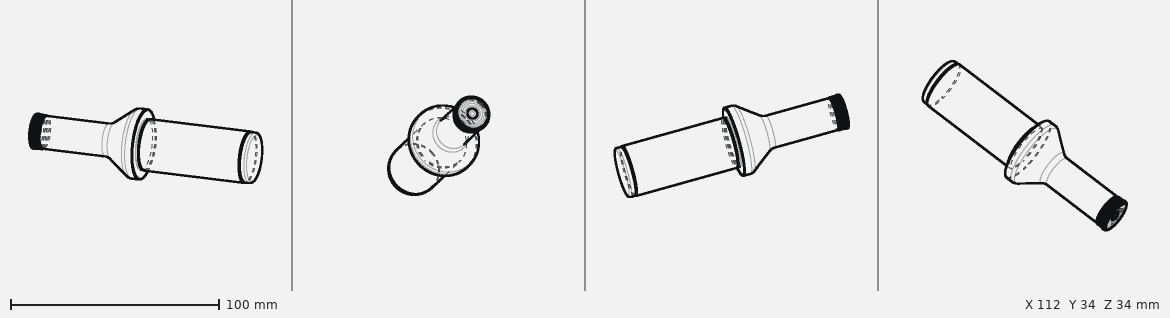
import cadquery as cq
import math

TOTAL_LENGTH = 112.0

TIP_LENGTH = 5.5
TIP_RIM_RADIUS = 8.5
TIP_FACE_RADIUS = 7.6
NOSE_LENGTH = 0.3
NOSE_RADIUS = 8.4
RIM_START = 0.7
RIM_END = 1.7
NECK_START = 2.0
NECK_RADIUS = 8.3
WAVE_PITCH = 0.7
WAVE_DEPTH = 0.1
TAPER_MIDDLE = 5.0
TAPER_MIDDLE_RADIUS = 8.2

DISH_RADIUS = 3.8
DISH_SHOULDER_RADIUS = 3.1
DISH_SHOULDER_DEPTH = 0.1
DISH_STEP_RADIUS = 2.5
DISH_STEP_DEPTH = 0.5
DISH_INNER_RADIUS = 1.8
DISH_INNER_DEPTH = 0.5
DISH_FLOOR_RADIUS = 1.0
DISH_DEPTH = 0.7
RING_INNER_RADIUS = 4.9
RING_BOTTOM_RADIUS = 5.8
RING_OUTER_RADIUS = 6.6
RING_DEPTH = 0.1

COLUMN_RADIUS = 16.0 / 2
CONE_ANGLE = math.radians(36.7)
CONE_FOOT_ROUND = 5.2
CONE_TOP_ROUND = 3.1
FLANGE_RADIUS = 34.0 / 2
FLANGE_START = 52.0
FLANGE_END = 55.8
FLANGE_CHAMFER = 0.3
SHANK_RADIUS = 25.0 / 2
RELIEF_RADIUS = 24.5 / 2
NECK_FILLET = 0.2
RELIEF_END = 57.0
SHANK_START = 57.7
SHANK_END = 108.3
TAIL_START = 109.0
TAIL_ROUND = 1.0


def revolve(profile):
    """Close a half-section on the X axis and revolve it into a solid."""
    return profile.close().revolve(360, (0, 0, 0), (1, 0, 0))


def point_on_circle(center, radius, angle):
    """Point on a circle, at an angle measured from the +X direction."""
    return center[0] + radius * math.cos(angle), center[1] + radius * math.sin(angle)


def make_tip():
    """Cap with a dished, grooved face, a chamfered rim and a waved neck."""
    profile = (
        cq.Workplane("XY")
        .moveTo(DISH_DEPTH, 0)
        .lineTo(DISH_DEPTH, DISH_FLOOR_RADIUS)
        .lineTo(DISH_INNER_DEPTH, DISH_INNER_RADIUS)
        .lineTo(DISH_STEP_DEPTH, DISH_STEP_RADIUS)
        .lineTo(DISH_SHOULDER_DEPTH, DISH_SHOULDER_RADIUS)
        .lineTo(0, DISH_RADIUS)
        .lineTo(0, RING_INNER_RADIUS)
        .lineTo(RING_DEPTH, RING_BOTTOM_RADIUS)
        .lineTo(0, RING_OUTER_RADIUS)
        .lineTo(0, TIP_FACE_RADIUS)
        .lineTo(NOSE_LENGTH, NOSE_RADIUS)
        .lineTo(RIM_START, TIP_RIM_RADIUS)
        .lineTo(RIM_END, TIP_RIM_RADIUS)
        .lineTo(NECK_START, NECK_RADIUS)
    )
    for step in range(1, 5):
        dip = WAVE_DEPTH if step % 2 else 0
        profile = profile.lineTo(NECK_START + step * WAVE_PITCH, NECK_RADIUS - dip)
    profile = (
        profile.lineTo(TAPER_MIDDLE, TAPER_MIDDLE_RADIUS)
        .lineTo(TIP_LENGTH, COLUMN_RADIUS)
        .lineTo(TIP_LENGTH, 0)
    )
    return revolve(profile)


def make_holder():
    """Column that flares through a cone to a flange, with a long shank behind it."""
    rounds = CONE_FOOT_ROUND + CONE_TOP_ROUND
    cone_rise = FLANGE_RADIUS - COLUMN_RADIUS - rounds * (1 - math.cos(CONE_ANGLE))
    cone_run = cone_rise / math.tan(CONE_ANGLE)
    column_end = FLANGE_START - cone_run - rounds * math.sin(CONE_ANGLE)
    foot_center = (column_end, COLUMN_RADIUS + CONE_FOOT_ROUND)
    top_center = (FLANGE_START, FLANGE_RADIUS - CONE_TOP_ROUND)
    up = math.pi / 2
    half = CONE_ANGLE / 2

    tail_center = (TOTAL_LENGTH - TAIL_ROUND, RELIEF_RADIUS - TAIL_ROUND)
    neck_center = (FLANGE_END + NECK_FILLET, RELIEF_RADIUS + NECK_FILLET)
    profile = (
        cq.Workplane("XY")
        .moveTo(TIP_LENGTH, 0)
        .lineTo(TIP_LENGTH, COLUMN_RADIUS)
        .lineTo(column_end, COLUMN_RADIUS)
        .threePointArc(
            point_on_circle(foot_center, CONE_FOOT_ROUND, half - up),
            point_on_circle(foot_center, CONE_FOOT_ROUND, CONE_ANGLE - up),
        )
        .lineTo(*point_on_circle(top_center, CONE_TOP_ROUND, up + CONE_ANGLE))
        .threePointArc(
            point_on_circle(top_center, CONE_TOP_ROUND, up + half),
            (FLANGE_START, FLANGE_RADIUS),
        )
        .lineTo(FLANGE_END - FLANGE_CHAMFER, FLANGE_RADIUS)
        .lineTo(FLANGE_END, FLANGE_RADIUS - FLANGE_CHAMFER)
        .lineTo(FLANGE_END, neck_center[1])
        .threePointArc(
            point_on_circle(neck_center, NECK_FILLET, math.radians(225)),
            (neck_center[0], RELIEF_RADIUS),
        )
        .lineTo(RELIEF_END, RELIEF_RADIUS)
        .lineTo(SHANK_START, SHANK_RADIUS)
        .lineTo(SHANK_END, SHANK_RADIUS)
        .lineTo(TAIL_START, RELIEF_RADIUS)
        .lineTo(tail_center[0], RELIEF_RADIUS)
        .threePointArc(
            point_on_circle(tail_center, TAIL_ROUND, math.radians(45)),
            (TOTAL_LENGTH, tail_center[1]),
        )
        .lineTo(TOTAL_LENGTH, 0)
    )
    return revolve(profile)


tip = make_tip()
holder = make_holder()
result = cq.Compound.makeCompound([tip.val(), holder.val()])